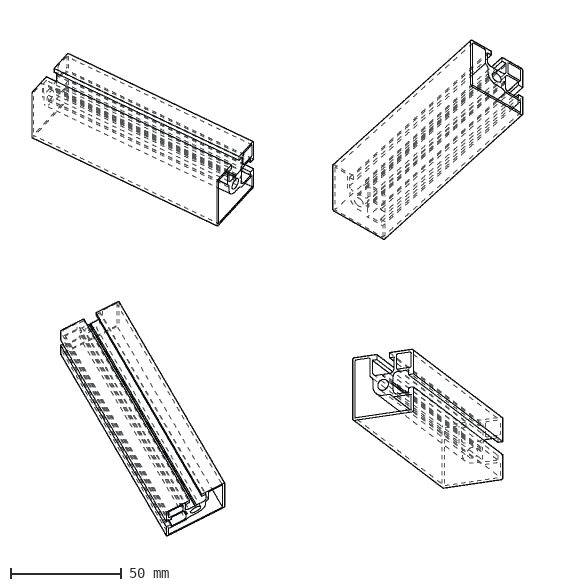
import cadquery as cq
import math

length = 100.0
size = 30.0
half = size / 2
corner_radius = 1.0
wall = 1.2

opening_width = 6.2
lip_thickness = 2.5
slot_width = 10.6
slot_floor = 5.0
slot_radius = 2.0
score_width = 0.9
score_depth = 0.8

cavity_radius = 0.7
core_radius = slot_floor
bore_diameter = 5.2
web_chamfer = 1.5
web_blend_radius = 2.5

cavity_limit = half - wall
slot_web = slot_width / 2 + wall


def bar(y_min, y_max, z_min, z_max):
    """Full-length rectangular bar between the given section limits."""
    return cq.Workplane("XY").box(length, y_max - y_min, z_max - z_min).translate(
        (0, (y_min + y_max) / 2, (z_min + z_max) / 2)
    )


def upper_slot():
    """Cutter for the T-slot open towards +Z, with its scored floor."""
    opening = bar(-opening_width / 2, opening_width / 2, slot_floor, half)
    chamber = bar(-slot_width / 2, slot_width / 2, slot_floor, half - lip_thickness)
    chamber = chamber.faces("<Z").edges("|X").fillet(slot_radius)
    score = (
        cq.Workplane("YZ")
        .moveTo(-score_width / 2, slot_floor)
        .lineTo(0, slot_floor - score_depth)
        .lineTo(score_width / 2, slot_floor)
        .close()
        .extrude(length / 2, both=True)
    )
    return opening.union(chamber).union(score)


def corner_cavity():
    """Cutter for the closed square chamber between the two slots."""
    cavity = bar(slot_web, cavity_limit, slot_web, cavity_limit)
    return cavity.edges("|X").fillet(cavity_radius)


def main_cavity():
    """Cutter for the L-shaped chamber that wraps around the core."""
    core_arc_middle = -core_radius / math.sqrt(2)
    chamfer_end = slot_floor - web_chamfer
    cavity = (
        cq.Workplane("YZ")
        .moveTo(-cavity_limit, -cavity_limit)
        .lineTo(cavity_limit, -cavity_limit)
        .lineTo(cavity_limit, -slot_web)
        .lineTo(slot_floor, -slot_web)
        .lineTo(chamfer_end, -core_radius)
        .lineTo(0, -core_radius)
        .threePointArc((core_arc_middle, core_arc_middle), (-core_radius, 0))
        .lineTo(-core_radius, chamfer_end)
        .lineTo(-slot_web, slot_floor)
        .lineTo(-slot_web, cavity_limit)
        .lineTo(-cavity_limit, cavity_limit)
        .close()
        .extrude(length / 2, both=True)
    )
    blend_corners = [(chamfer_end, -core_radius), (-core_radius, chamfer_end)]
    for y, z in blend_corners:
        corner_edge = cq.selectors.NearestToPointSelector((0, y, z))
        cavity = cavity.edges("|X").edges(corner_edge).fillet(web_blend_radius)

    return cavity.faces(">Z").edges("|X").fillet(cavity_radius)


body = bar(-half, half, -half, half).edges("|X").fillet(corner_radius)

for angle in (0, -90):
    body = body.cut(upper_slot().rotate((0, 0, 0), (1, 0, 0), angle))

body = body.cut(corner_cavity()).cut(main_cavity())

bore = cq.Workplane("YZ").circle(bore_diameter / 2).extrude(length / 2, both=True)
result = body.cut(bore)